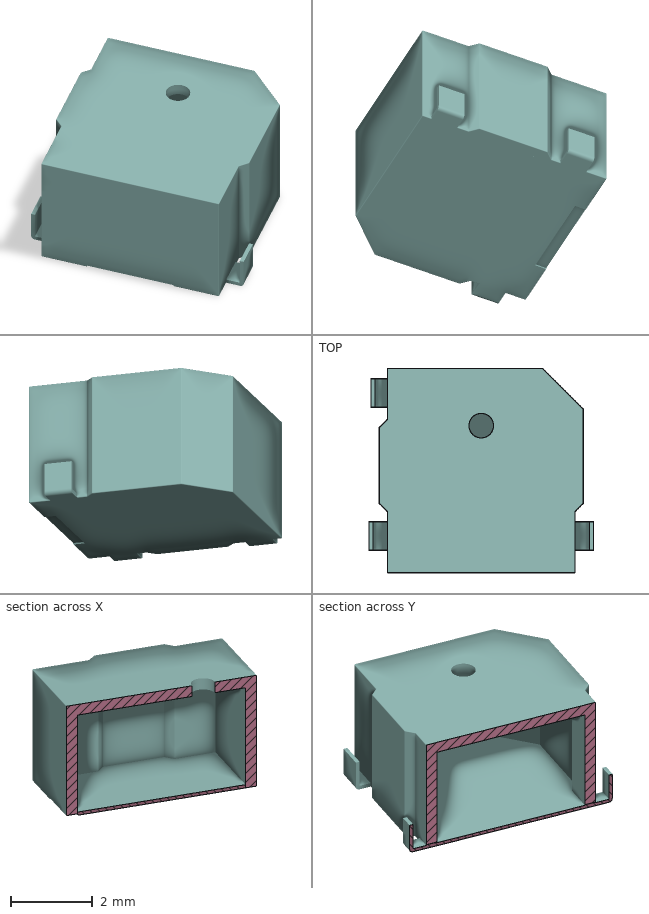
import cadquery as cq

HALF_SIZE = 2.5
HEIGHT = 3.0
SIDE_RELIEF = 0.2
RELIEF_HALF_WIDTH = HALF_SIZE - SIDE_RELIEF
REAR_RELIEF_START = 1.25
FRONT_RELIEF_START = -1.0
CORNER_CUT = 1.0
WALL = 0.3
EDGE_RADIUS = 0.02

HOLE_DIAMETER = 0.6
HOLE_Y = 1.1

NOTCH_WIDTH = 2.25
NOTCH_HEIGHT = 0.04

SHEET = 0.1
LEAD_WIDTH = 0.7
LEAD_HEIGHT = 0.8
INNER_BEND_RADIUS = 0.02
FRONT_LEAD_Y = -1.6
REAR_LEAD_Y = 1.9
FRONT_LEAD_REACH = 2.75
REAR_LEAD_REACH = 2.7

LEADS = [
    (-1, FRONT_LEAD_REACH, FRONT_LEAD_Y),
    (1, FRONT_LEAD_REACH, FRONT_LEAD_Y),
    (-1, REAR_LEAD_REACH, REAR_LEAD_Y),
]


def housing_outline():
    """Square outline with stepped-in sides and one cut corner, counter-clockwise from the front left."""
    points = [
        (-RELIEF_HALF_WIDTH, -HALF_SIZE),
        (RELIEF_HALF_WIDTH, -HALF_SIZE),
        (RELIEF_HALF_WIDTH, FRONT_RELIEF_START),
        (HALF_SIZE, FRONT_RELIEF_START + SIDE_RELIEF),
        (HALF_SIZE, HALF_SIZE - CORNER_CUT),
        (HALF_SIZE - CORNER_CUT, HALF_SIZE),
        (-RELIEF_HALF_WIDTH, HALF_SIZE),
        (-RELIEF_HALF_WIDTH, REAR_RELIEF_START),
        (-HALF_SIZE, REAR_RELIEF_START - SIDE_RELIEF),
        (-HALF_SIZE, FRONT_RELIEF_START + SIDE_RELIEF),
        (-RELIEF_HALF_WIDTH, FRONT_RELIEF_START),
    ]
    return cq.Workplane("XY").polyline(points).close()


def inner_block(height):
    """Solid filling the inside of the housing walls from the bottom up to the given height."""
    return housing_outline().offset2D(-WALL, "intersection").extrude(height)


def lead(side, reach, y):
    """L-shaped lead whose foot starts at the inner face of the housing wall and whose tip turns up."""
    foot_start = RELIEF_HALF_WIDTH - WALL
    profile = [
        (side * foot_start, 0),
        (side * reach, 0),
        (side * reach, LEAD_HEIGHT),
        (side * (reach - SHEET), LEAD_HEIGHT),
        (side * (reach - SHEET), SHEET),
        (side * foot_start, SHEET),
    ]
    bent = (
        cq.Workplane("XZ", origin=(0, y, 0))
        .polyline(profile)
        .close()
        .extrude(LEAD_WIDTH / 2, both=True)
    )
    outer_bend = cq.selectors.NearestToPointSelector((side * reach, y, 0))
    inner_bend = cq.selectors.NearestToPointSelector((side * (reach - SHEET), y, SHEET))
    bent = bent.edges("|Y").edges(outer_bend).fillet(SHEET)
    return bent.edges("|Y").edges(inner_bend).fillet(INNER_BEND_RADIUS)


def make_base():
    """Plate closing the bottom of the housing, with the three leads bent from it."""
    base = inner_block(SHEET)
    for side, reach, y in LEADS:
        base = base.union(lead(side, reach, y))
    return base


def make_housing(base):
    """Hollow cap with a sound hole, a front notch and openings that fit the base and its leads."""
    shell = housing_outline().extrude(HEIGHT).edges().fillet(EDGE_RADIUS)
    shell = shell.cut(inner_block(HEIGHT - WALL))
    sound_hole = (
        cq.Workplane("XY", origin=(0, HOLE_Y, HEIGHT))
        .circle(HOLE_DIAMETER / 2)
        .extrude(-WALL)
    )
    notch = cq.Workplane("XY", origin=(0, WALL / 2 - HALF_SIZE, 0)).box(
        NOTCH_WIDTH, WALL, NOTCH_HEIGHT, centered=(True, True, False)
    )
    return shell.cut(sound_hole).cut(notch).cut(base)


base = make_base()
housing = make_housing(base)

result = cq.Compound.makeCompound([housing.val(), base.val()])